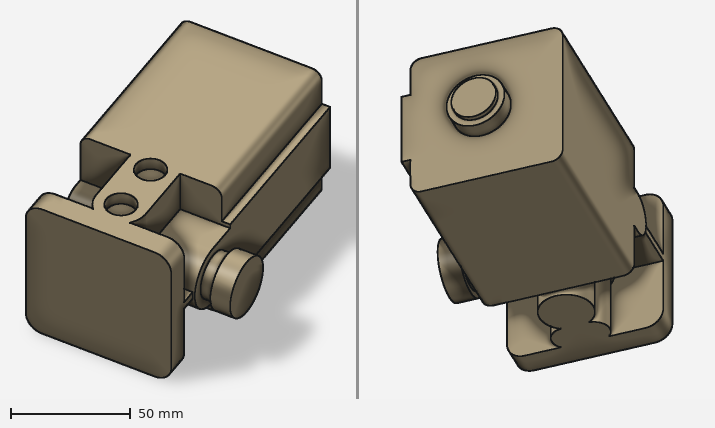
import cadquery as cq

height = 70.0
total_length = 142.5
top = height / 2
embed = 1.4

plate_thickness = 11.0
plate_corner_radius = 8.0

body_left = -36.0
body_right = 32.0
body_front = 48.0
body_back = 132.5
body_edge_radius = 5.0
strip_height = 34.2
strip_right = 36.0

core_radius = 14.0
web_thickness = 3.7
boss_radius = 12.0
bolt_hole_radius = 7.0
bolt_hole_depth = 6.0
front_bolt_y = 19.1
rear_bolt_y = 44.0
lower_boss_y = 33.0
lower_lobe_y = 16.0
lower_lobe_radius = 7.0
lower_lobe_offset = 6.0

left_arm_radius = 10.0
left_arm_axis_y = 44.0
right_arm_radius = 15.0
right_arm_axis_y = body_front - right_arm_radius

knob_axis_y = 33.9
knob_neck_radius = 11.0
knob_radius = 14.0
knob_start = 42.5
knob_end = 52.0

spigot_radius = 13.0
spigot_end = 140.2
spigot_cap_radius = 10.0


def box_between(x_range, y_range, z_range):
    """Box spanning a low and high limit on each axis."""
    lows, highs = zip(x_range, y_range, z_range)
    sizes = [high - low for low, high in zip(lows, highs)]
    return cq.Workplane("XY").box(*sizes, centered=False).translate(lows)


def cylinder_along_x(radius, axis_y, start, end):
    return cq.Workplane("YZ", origin=(start, axis_y, 0)).circle(radius).extrude(end - start)


def cylinder_along_y(radius, start, end):
    return cq.Workplane("XZ", origin=(0, start, 0)).circle(radius).extrude(start - end)


def cylinder_along_z(radius, axis_y, start, end):
    return cq.Workplane("XY", origin=(0, axis_y, start)).circle(radius).extrude(end - start)


def round_nosed_arm(radius, axis_y, x_range):
    """Arm projecting forward from the body, ending in a half-cylinder."""
    block = box_between(x_range, (axis_y, body_front + embed), (-radius, radius))
    return block.union(cylinder_along_x(radius, axis_y, *x_range))


def make_plate():
    plate = box_between((-top, top), (0, plate_thickness), (-top, top))
    return plate.edges("|Y").fillet(plate_corner_radius)


def make_body():
    body = box_between((body_left, body_right), (body_front, body_back), (-top, top))
    body = body.edges("|Y").fillet(body_edge_radius)
    strip = box_between(
        (0, strip_right), (body_front, body_back), (-strip_height / 2, strip_height / 2)
    )
    return body.union(strip)


def make_neck():
    core = cylinder_along_y(core_radius, 0, body_front + embed)
    web = box_between((-top, top), (0, body_front), (-web_thickness / 2, web_thickness / 2))
    rib = box_between((-boss_radius, boss_radius), (front_bolt_y, body_front + embed), (0, top))
    rib = rib.union(cylinder_along_z(boss_radius, front_bolt_y, 0, top))
    lower_boss = cylinder_along_z(boss_radius, lower_boss_y, -top, 0)
    slot_length = 2 * (lower_lobe_offset + lower_lobe_radius)
    lower_slot = (
        cq.Workplane("XY", origin=(0, lower_lobe_y, -top))
        .slot2D(slot_length, 2 * lower_lobe_radius)
        .extrude(top)
    )
    return core.union(web).union(rib).union(lower_boss).union(lower_slot)


def make_arms():
    left = round_nosed_arm(left_arm_radius, left_arm_axis_y, (body_left, 0))
    right = round_nosed_arm(right_arm_radius, right_arm_axis_y, (0, strip_right))
    return left.union(right)


def make_knob():
    neck = cylinder_along_x(knob_neck_radius, knob_axis_y, 0, knob_start)
    return neck.union(cylinder_along_x(knob_radius, knob_axis_y, knob_start, knob_end))


def make_spigot():
    spigot = cylinder_along_y(spigot_radius, body_back, spigot_end)
    return spigot.union(cylinder_along_y(spigot_cap_radius, spigot_end, total_length))


result = make_plate()
for portion in (make_body(), make_neck(), make_arms(), make_knob(), make_spigot()):
    result = result.union(portion)

for bolt_y in (front_bolt_y, rear_bolt_y):
    result = result.cut(cylinder_along_z(bolt_hole_radius, bolt_y, top - bolt_hole_depth, top))